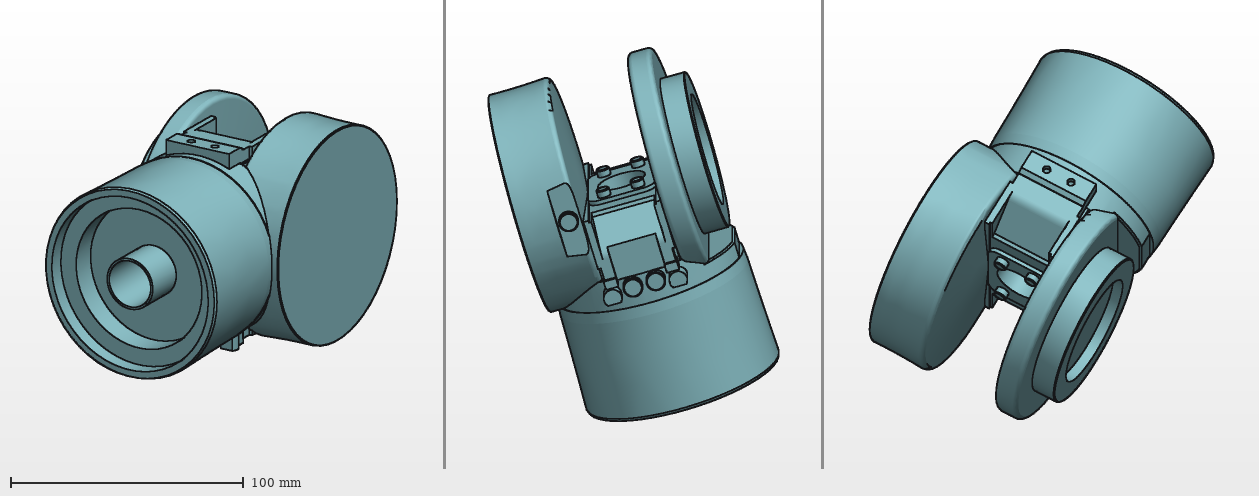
import cadquery as cq
import math


mouth_y = -96.2
rim_radius = 43.3
rim_chamfer = 1.3
rim_chamfer_inset = 0.6
waist_y = -65.8
waist_radius = 42.4
collar_y = -51.0
collar_radius = 42.1
collar_end_radius = 41.7
neck_y = -46.0
neck_radius = 41.4
neck_end_y = -38.3
neck_chamfer = 0.7
neck_flat_x = -39.8

mouth_recess_radius = 39.6
mouth_recess_depth = 7.3
well_radius = 31.9
well_depth = 19.0
tube_radius = 11.5
bore_radius = 10.5

left_radius = 50.0
left_outer_x = -28.4
left_rim_x = -17.5
left_apex_x = -15.2
disc_fillet = 2.2
boss_radius = 34.6
boss_end_x = -39.3
boss_y = 1.2
boss_chamfer = 0.5
boss_recess_radius = 24.5
boss_recess_depth = 4.8

right_y = 0.5
right_radius = 49.1
right_waist_radius = 48.5
right_waist_x = 32.2
right_rim_x = 17.7
right_apex_x = 15.2
right_outer_x = 44.9
right_chamfer = 0.5
flat_z = -46.2
flat_end_x = 28.0

body_half_width = 17.3
body_front_y = -32.5
body_back_y = -2.8
body_half_height = 43.4
notch_y = -24.9
notch_x = 16.0
notch_floor_z = 37.7
window_half_width = 14.0
window_slope = 45
window_corner_y = -19.0
window_foot_y = -5.5
window_back_y = -3.8
window_foot_drop = 0.6
window_fillet = 5.1
channel_half_width = 10.8

pad_half_width = notch_x
pad_front_y = -41.4
pad_back_y = -30.0
pad_bottom_z = notch_floor_z
pad_top_z = 45.2
pad_chamfer_length = 2.3
pad_chamfer_height = 1.3
pad_hole_spacing = 12.0
pad_hole_y = -36.8
pad_hole_diameter = 3.4
pad_hole_depth = 2.9
pad_hole_point = 1.0

foot_bottom_z = -45.2
foot_top_z = -37.0
foot_back_y = -30.4
foot_block_front_y = -34.2
foot_inner_x = channel_half_width
foot_outer_x = 16.4
lobe_x = 14.6
lobe_y = -38.7
lobe_radius = 4.0

plate_half_width = 15.0
plate_half_height = 20.5
plate_corner_radius = 5.5
plate_y = -1.9
plate_screw_x = 7.6
plate_screw_z = 15.4
plate_screw_diameter = 5.7
plate_screw_head = 3.2
screw_chamfer = 0.5
clamp_head_diameter = 8.3
neck_screw_x = 5.1
neck_screw_y = pad_hole_y
neck_screw_bottom_z = -44.3
disc_screw_x = 23.0
disc_screw_bottom_z = -48.8


def box(x_range, y_range, z_range):
    """Box between the given limits."""
    sizes = [high - low for low, high in (x_range, y_range, z_range)]
    corner = (x_range[0], y_range[0], z_range[0])
    return cq.Workplane("XY").box(*sizes, centered=False).translate(corner)


def both_sides(half_size):
    """Limits placed evenly about zero."""
    return (-half_size, half_size)


def y_cylinder(radius, y_start, y_end, x=0, z=0):
    """Cylinder along Y."""
    length = y_end - y_start
    start = cq.Vector(x, y_start, z)
    return cq.Workplane(cq.Solid.makeCylinder(radius, length, start, cq.Vector(0, 1, 0)))


def z_cylinder(radius, z_start, z_end, x, y):
    """Cylinder along Z."""
    return cq.Workplane(cq.Solid.makeCylinder(radius, z_end - z_start, cq.Vector(x, y, z_start)))


def x_cylinder(radius, x_start, x_end, y):
    """Cylinder along X."""
    start = cq.Vector(x_start, y, 0)
    return cq.Workplane(cq.Solid.makeCylinder(radius, x_end - x_start, start, cq.Vector(1, 0, 0)))


def screw_head(x, y, bottom_z, top_z):
    """Downward-facing screw head with a chamfered rim."""
    return z_cylinder(clamp_head_diameter / 2, bottom_z, top_z, x, y).faces("<Z").chamfer(screw_chamfer)


def make_barrel():
    """Waisted barrel with its collar and neck."""
    outer = (
        cq.Workplane("XY")
        .moveTo(0, mouth_y)
        .lineTo(rim_radius - rim_chamfer_inset, mouth_y)
        .lineTo(rim_radius, mouth_y + rim_chamfer)
        .threePointArc((waist_radius, waist_y), (collar_radius, collar_y))
        .lineTo(collar_end_radius, neck_y)
        .lineTo(neck_radius, neck_y)
        .lineTo(neck_radius, neck_end_y)
        .lineTo(0, neck_end_y)
        .close()
        .revolve(360, (0, 0, 0), (0, 1, 0))
    )
    flat_cut = box((-rim_radius, neck_flat_x), (neck_y, neck_end_y), both_sides(rim_radius))
    return outer.cut(flat_cut).faces(">Y").chamfer(neck_chamfer)


def make_neck_saddle():
    """Part of the neck that runs on between the two discs."""
    saddle = y_cylinder(neck_radius, neck_end_y - neck_chamfer, body_front_y)
    x_limits = (left_outer_x + disc_fillet, neck_radius)
    limits = box(x_limits, (neck_end_y - neck_chamfer, body_front_y), both_sides(neck_radius))
    return saddle.intersect(limits)


def hollow_barrel(solid):
    """Stepped recess around a central tube, and the bore through everything."""
    solid = solid.cut(y_cylinder(mouth_recess_radius, mouth_y, mouth_y + mouth_recess_depth))
    solid = solid.cut(y_cylinder(well_radius, mouth_y, mouth_y + well_depth))
    solid = solid.union(y_cylinder(tube_radius, mouth_y, mouth_y + well_depth))
    return solid.cut(y_cylinder(bore_radius, mouth_y, plate_y))


def make_left_disc():
    """Disc with a slightly conical inner face, rounded rim and recessed boss."""
    disc = (
        cq.Workplane("XY")
        .moveTo(left_outer_x, 0)
        .lineTo(left_outer_x, left_radius - disc_fillet)
        .radiusArc((left_outer_x + disc_fillet, left_radius), disc_fillet)
        .lineTo(left_rim_x - disc_fillet, left_radius)
        .radiusArc((left_rim_x, left_radius - disc_fillet), disc_fillet)
        .lineTo(left_apex_x, 0)
        .close()
        .revolve(360, (0, 0, 0), (1, 0, 0))
    )
    boss = x_cylinder(boss_radius, boss_end_x, left_outer_x, boss_y).faces("<X").chamfer(boss_chamfer)
    recess = x_cylinder(boss_recess_radius, boss_end_x, boss_end_x + boss_recess_depth, boss_y)
    return disc.union(boss).cut(recess)


def make_right_disc():
    """Thick waisted disc with a flat at its lowest point that seats a screw head."""
    rim_end = (right_outer_x - right_chamfer, right_waist_radius)
    disc = (
        cq.Workplane("XY")
        .moveTo(right_apex_x, 0)
        .lineTo(right_rim_x, right_radius - disc_fillet)
        .radiusArc((right_rim_x + disc_fillet, right_radius), disc_fillet)
        .threePointArc((right_waist_x, right_waist_radius), rim_end)
        .lineTo(right_outer_x, right_waist_radius - right_chamfer)
        .lineTo(right_outer_x, 0)
        .close()
        .revolve(360, (0, 0, 0), (1, 0, 0))
        .translate((0, right_y, 0))
    )
    flat = box((right_apex_x, flat_end_x), both_sides(right_radius), (-left_radius, flat_z))
    return disc.cut(flat).union(screw_head(disc_screw_x, right_y, disc_screw_bottom_z, flat_z))


def make_window():
    """Sloped opening in the top of the yoke body, rounded over at its front edge."""
    half_turn = math.radians(window_slope / 2)
    tangent = window_fillet * math.tan(half_turn)
    slope = math.radians(window_slope)
    slope_start = (
        window_corner_y + tangent * math.cos(slope),
        body_half_height - tangent * math.sin(slope),
    )
    foot_z = body_half_height - (window_foot_y - window_corner_y) * math.tan(slope)
    back_z = foot_z - window_foot_drop
    center_y = window_corner_y - tangent
    center_z = body_half_height - window_fillet
    mid_y = center_y + window_fillet * math.sin(half_turn)
    mid_z = center_z + window_fillet * math.cos(half_turn)
    return (
        cq.Workplane("YZ", origin=(-window_half_width, 0, 0))
        .moveTo(center_y, body_half_height)
        .threePointArc((mid_y, mid_z), slope_start)
        .lineTo(window_foot_y, foot_z)
        .lineTo(window_back_y, back_z)
        .lineTo(window_back_y, body_half_height)
        .close()
        .extrude(2 * window_half_width)
    )


def make_body():
    """Yoke body between the discs with sloped windows above and below and a bottom channel."""
    body = box(both_sides(body_half_width), (body_front_y, body_back_y), both_sides(body_half_height))
    for low_x, high_x in ((-body_half_width, -notch_x), (notch_x, body_half_width)):
        for low_z, high_z in ((-body_half_height, -notch_floor_z), (notch_floor_z, body_half_height)):
            body = body.cut(box((low_x, high_x), (body_front_y, notch_y), (low_z, high_z)))
    window = make_window()
    channel_height = (-body_half_height, -neck_radius)
    channel = box(both_sides(channel_half_width), (body_front_y, body_back_y), channel_height)
    plate_seat = box(both_sides(plate_half_width), (window_back_y, body_back_y), both_sides(body_half_height))
    return body.cut(window).cut(window.mirror("XY")).cut(channel).cut(plate_seat)


def make_pad():
    """Rectangular pad with a bevelled back edge and two drilled pilot holes."""
    pad = (
        cq.Workplane("YZ", origin=(-pad_half_width, 0, 0))
        .moveTo(pad_front_y, pad_bottom_z)
        .lineTo(pad_front_y, pad_top_z)
        .lineTo(pad_back_y - pad_chamfer_length, pad_top_z)
        .lineTo(pad_back_y, pad_top_z - pad_chamfer_height)
        .lineTo(pad_back_y, pad_bottom_z)
        .close()
        .extrude(2 * pad_half_width)
    )
    hole_radius = pad_hole_diameter / 2
    hole_bottom = pad_top_z - pad_hole_depth
    for x in both_sides(pad_hole_spacing / 2):
        point_start = cq.Vector(x, pad_hole_y, hole_bottom - pad_hole_point)
        point = cq.Solid.makeCone(0, hole_radius, pad_hole_point, point_start)
        pad = pad.cut(z_cylinder(hole_radius, hole_bottom, pad_top_z, x, pad_hole_y))
        pad = pad.cut(cq.Workplane(point))
    return pad


def make_foot():
    """Left foot: a small block that leads to a round lobe with a flat front and inner side."""
    height = (foot_bottom_z, foot_top_z)
    block = box((-foot_outer_x, -foot_inner_x), (foot_block_front_y, foot_back_y), height)
    lobe = z_cylinder(lobe_radius, foot_bottom_z, foot_top_z, -lobe_x, lobe_y)
    lobe_limits = box(
        (-lobe_x - lobe_radius, -foot_inner_x),
        (pad_front_y, lobe_y + lobe_radius),
        height,
    )
    return block.union(lobe.intersect(lobe_limits))


def make_plate():
    """Round-cornered back plate with four screw heads."""
    plate = box(both_sides(plate_half_width), (window_back_y, plate_y), both_sides(plate_half_height))
    plate = plate.edges("|Y").fillet(plate_corner_radius)
    for x in both_sides(plate_screw_x):
        for z in both_sides(plate_screw_z):
            head = y_cylinder(plate_screw_diameter / 2, plate_y, plate_y + plate_screw_head, x, z)
            plate = plate.union(head.faces(">Y").chamfer(screw_chamfer))
    return plate


result = make_barrel().union(make_neck_saddle()).union(make_body())
result = result.union(make_left_disc()).union(make_right_disc())
result = result.union(make_pad()).union(make_plate())
foot = make_foot()
result = result.union(foot).union(foot.mirror("YZ"))
for x in both_sides(neck_screw_x):
    result = result.union(screw_head(x, neck_screw_y, neck_screw_bottom_z, foot_top_z))
result = hollow_barrel(result)